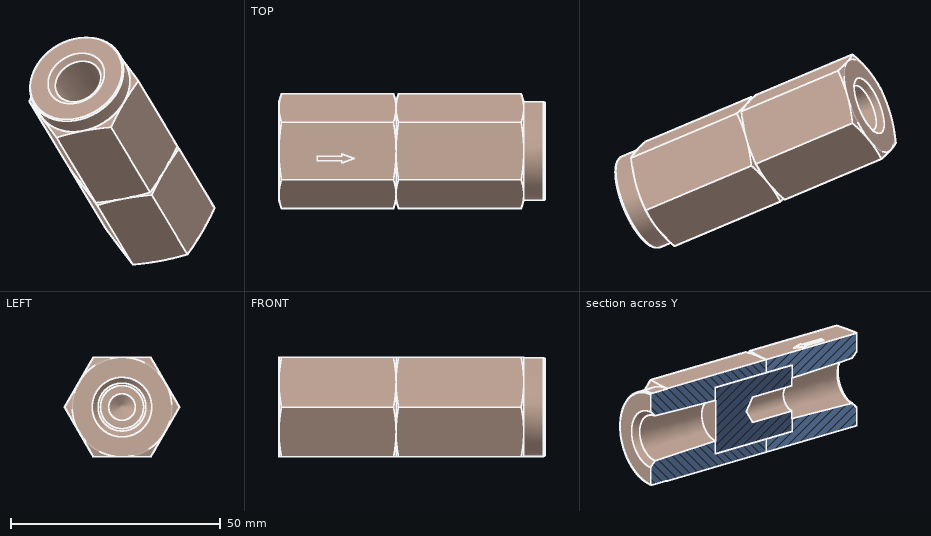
import cadquery as cq
import math


across_flats = 23.8
across_corners = across_flats / math.cos(math.pi / 6)
total_length = 63.5
inlet_length = 27.94
outlet_hex_end = 58.42
corner_chamfer_length = 0.6
corner_chamfer_height = (across_corners - across_flats) / 2

collar_diameter = 23.62
collar_chamfer_length = 0.4
collar_chamfer_height = 0.25

countersink_diameter = 14.22
port_mouth_diameter = 11.45
port_taper = 1 / 16
port_depth = 20.0
countersink_depth = (countersink_diameter - port_mouth_diameter) / 2
port_floor_diameter = port_mouth_diameter - port_taper * (port_depth - countersink_depth)

poppet_diameter = 16.82
poppet_length = total_length - 2 * port_depth
poppet_hole_diameter = 6.35
poppet_hole_depth = 12.0
drill_point_angle = math.radians(118)

arrow_start = 9.1
arrow_head_start = 15.0
arrow_tip = 17.95
arrow_y = -1.76
arrow_shaft_width = 1.0
arrow_head_width = 2.15
arrow_depth = 0.1


def revolve_about_x(points):
    """Solid of revolution about X from an outline of (x, radius) points."""
    return cq.Workplane("XY").polyline(points).close().revolve(360, (0, 0, 0), (1, 0, 0))


def cylinder_along_x(start, end, diameter):
    return cq.Workplane("YZ").workplane(offset=start).circle(diameter / 2).extrude(end - start)


def chamfered_hex(start, end):
    """Hexagonal bar with flats at top and bottom and its corners turned off conically at both ends."""
    bar = cq.Workplane("YZ").workplane(offset=start).polygon(6, across_corners).extrude(end - start)
    face_radius = across_flats / 2
    corner_radius = face_radius + corner_chamfer_height
    turned_envelope = revolve_about_x([
        (start, 0),
        (start, face_radius),
        (start + corner_chamfer_length, corner_radius),
        (end - corner_chamfer_length, corner_radius),
        (end, face_radius),
        (end, 0),
    ])
    return bar.intersect(turned_envelope)


def port_cutter():
    """Space inside the port that opens at x = 0."""
    return revolve_about_x([
        (0, 0),
        (0, countersink_diameter / 2),
        (countersink_depth, port_mouth_diameter / 2),
        (port_depth, port_floor_diameter / 2),
        (port_depth, 0),
    ])


def poppet_chamber():
    return cylinder_along_x(port_depth, port_depth + poppet_length, poppet_diameter)


def flow_arrow():
    shaft = arrow_shaft_width / 2
    head = arrow_head_width / 2
    outline = [
        (arrow_start, -shaft),
        (arrow_head_start, -shaft),
        (arrow_head_start, -head),
        (arrow_tip, 0),
        (arrow_head_start, head),
        (arrow_head_start, shaft),
        (arrow_start, shaft),
    ]
    floor = cq.Workplane("XY", origin=(0, arrow_y, across_flats / 2 - arrow_depth))
    return floor.polyline(outline).close().extrude(arrow_depth)


def make_inlet_housing():
    body = chamfered_hex(0, inlet_length)
    return body.cut(port_cutter()).cut(poppet_chamber()).cut(flow_arrow())


def make_outlet_housing():
    collar_radius = collar_diameter / 2
    collar = revolve_about_x([
        (outlet_hex_end, 0),
        (outlet_hex_end, collar_radius),
        (total_length - collar_chamfer_length, collar_radius),
        (total_length, collar_radius - collar_chamfer_height),
        (total_length, 0),
    ])
    outlet_port = port_cutter().mirror("YZ").translate((total_length, 0, 0))
    body = chamfered_hex(inlet_length, outlet_hex_end).union(collar)
    return body.cut(outlet_port).cut(poppet_chamber())


def make_poppet():
    """Plain cylinder with a blind drilled hole facing the inlet."""
    hole_radius = poppet_hole_diameter / 2
    hole_end = port_depth + poppet_hole_depth
    point_length = hole_radius / math.tan(drill_point_angle / 2)
    drilled_hole = revolve_about_x([
        (port_depth, 0),
        (port_depth, hole_radius),
        (hole_end, hole_radius),
        (hole_end + point_length, 0),
    ])
    return poppet_chamber().cut(drilled_hole)


inlet_housing = make_inlet_housing()
outlet_housing = make_outlet_housing()
poppet = make_poppet()

result = cq.Compound.makeCompound([inlet_housing.val(), outlet_housing.val(), poppet.val()])